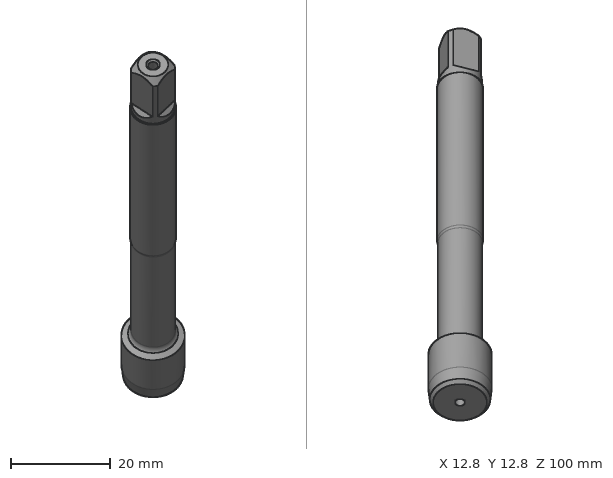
import cadquery as cq

TOTAL_LENGTH = 100.0
HEAD_DIA = 12.8
HEAD_LEAD_DIA = 12.2
HEAD_TIP_DIA = 10.8
NECK_DIA = 9.0
GRIP_DIA = 9.3
DRIVE_DIA = 8.9
DRIVE_TIP_DIA = 6.1
SQUARE_WIDTH = 7.0
BORE_DIA = 2.0
BORE_MOUTH_DIA = 2.8
CUT_CLEARANCE = 1.0

TIP_CHAMFER_TOP = 0.8
LEAD_TOP = 3.8
HEAD_TOP = 13.1
SHOULDER_TOP = 15.0
GRIP_BOTTOM = 43.9
GRIP_TAPER_HEIGHT = 0.6
GRIP_TOP = 86.6
FLAT_BOTTOM = 88.8

FILLET_HEIGHT = 1.3
FILLET_FOOT_DIA = 10.1

HEAD_RADIUS = HEAD_DIA / 2
NECK_RADIUS = NECK_DIA / 2
GRIP_RADIUS = GRIP_DIA / 2
DRIVE_RADIUS = DRIVE_DIA / 2


def drill_bore(body):
    """Cut the axial through bore."""
    return body.cut(cq.Workplane("XY").circle(BORE_DIA / 2).extrude(TOTAL_LENGTH))


def make_head():
    """Cylindrical head with a conical lead and a chamfered tip."""
    profile = (
        cq.Workplane("XZ")
        .lineTo(HEAD_TIP_DIA / 2, 0)
        .lineTo(HEAD_LEAD_DIA / 2, TIP_CHAMFER_TOP)
        .lineTo(HEAD_RADIUS, LEAD_TOP)
        .lineTo(HEAD_RADIUS, HEAD_TOP)
        .lineTo(0, HEAD_TOP)
        .close()
    )
    return drill_bore(profile.revolve(360, (0, 0, 0), (0, 1, 0)))


def make_shank_blank():
    """Turned shank: shoulder, neck, grip and chamfered drive end."""
    grip_chamfer = GRIP_RADIUS - DRIVE_RADIUS
    tip_chamfer = (DRIVE_DIA - DRIVE_TIP_DIA) / 2
    fillet_width = FILLET_FOOT_DIA / 2 - NECK_RADIUS
    fillet_radius = (FILLET_HEIGHT**2 + fillet_width**2) / (2 * fillet_width)
    return (
        cq.Workplane("XZ")
        .moveTo(0, HEAD_TOP)
        .lineTo(HEAD_RADIUS, HEAD_TOP)
        .lineTo(FILLET_FOOT_DIA / 2, SHOULDER_TOP - FILLET_HEIGHT)
        .radiusArc((NECK_RADIUS, SHOULDER_TOP), fillet_radius)
        .lineTo(NECK_RADIUS, GRIP_BOTTOM)
        .lineTo(GRIP_RADIUS, GRIP_BOTTOM + GRIP_TAPER_HEIGHT)
        .lineTo(GRIP_RADIUS, GRIP_TOP - grip_chamfer)
        .lineTo(DRIVE_RADIUS, GRIP_TOP)
        .lineTo(DRIVE_RADIUS, TOTAL_LENGTH - tip_chamfer)
        .lineTo(DRIVE_TIP_DIA / 2, TOTAL_LENGTH)
        .lineTo(0, TOTAL_LENGTH)
        .close()
        .revolve(360, (0, 0, 0), (0, 1, 0))
    )


def make_flat_cutter():
    """Removes one side of the drive square, ending in a 45 degree run-out."""
    inner = SQUARE_WIDTH / 2
    outer = DRIVE_RADIUS + CUT_CLEARANCE
    return (
        cq.Workplane("XZ")
        .moveTo(inner, TOTAL_LENGTH)
        .lineTo(inner, FLAT_BOTTOM)
        .lineTo(outer, FLAT_BOTTOM - (outer - inner))
        .lineTo(outer, TOTAL_LENGTH)
        .close()
        .extrude(DRIVE_RADIUS, both=True)
    )


def make_shank():
    """Shank with its drive square, bore and countersunk bore mouth."""
    shank = make_shank_blank()
    cutter = make_flat_cutter()
    for side in range(4):
        shank = shank.cut(cutter.rotate((0, 0, 0), (0, 0, 1), side * 90))
    shank = drill_bore(shank)
    mouth_depth = (BORE_MOUTH_DIA - BORE_DIA) / 2
    bore_rim = cq.selectors.RadiusNthSelector(0)
    return shank.faces(">Z").edges("%CIRCLE").edges(bore_rim).chamfer(mouth_depth)


head = make_head()
shank = make_shank()

result = cq.Compound.makeCompound([head.val(), shank.val()])